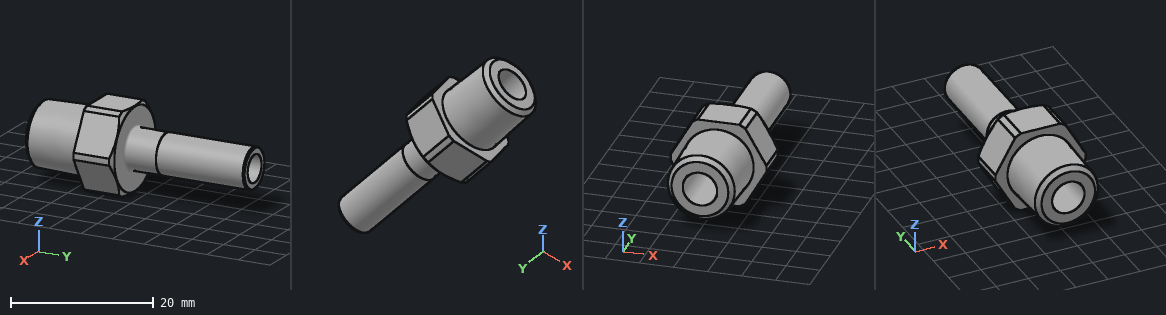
import cadquery as cq
import math

length = 34.1
front_y = -length / 2
back_y = length / 2

thread_length = 9.07
thread_root_radius = 5.15
thread_end_radius = 4.9
thread_face_radius = 4.15
thread_chamfer_length = 0.65

hex_across_flats = 12.7
hex_corner_diameter = 14.1
hex_length = 6.07
hex_chamfer_radius = 6.27
hex_chamfer_angle = 30.0

stem_radius = 3.15
neck_radius = 3.1
neck_length = 4.95
neck_fillet = 0.4
stem_chamfer_length = 0.25
stem_chamfer_inset = 0.15

wide_bore_radius = 2.52
narrow_bore_radius = 2.08

hex_front_y = front_y + thread_length
hex_back_y = hex_front_y + hex_length
neck_end_y = hex_back_y + neck_length


def revolve_about_y(profile):
    """Revolve a closed profile of radius (X) and position (Y) about the Y axis."""
    return profile.close().revolve(360, (0, 0, 0), (0, 1, 0))


def make_thread_body():
    return revolve_about_y(
        cq.Workplane("XY")
        .moveTo(0, front_y)
        .lineTo(thread_face_radius, front_y)
        .lineTo(thread_end_radius, front_y + thread_chamfer_length)
        .lineTo(thread_root_radius, hex_front_y)
        .lineTo(0, hex_front_y)
    )


def make_hexagon():
    corner_radius = hex_corner_diameter / 2
    chamfer_length = (corner_radius - hex_chamfer_radius) * math.tan(math.radians(hex_chamfer_angle))
    prism = (
        cq.Workplane("XZ", origin=(0, hex_front_y, 0))
        .polygon(6, hex_across_flats / math.cos(math.radians(30)))
        .extrude(-hex_length)
    )
    turned_blank = revolve_about_y(
        cq.Workplane("XY")
        .moveTo(0, hex_front_y)
        .lineTo(corner_radius, hex_front_y)
        .lineTo(corner_radius, hex_back_y - chamfer_length)
        .lineTo(hex_chamfer_radius, hex_back_y)
        .lineTo(0, hex_back_y)
    )
    return prism.intersect(turned_blank)


def make_stem():
    fillet_mid = neck_fillet * (1 - math.sqrt(0.5))
    return revolve_about_y(
        cq.Workplane("XY")
        .moveTo(0, hex_back_y)
        .lineTo(neck_radius + neck_fillet, hex_back_y)
        .threePointArc(
            (neck_radius + fillet_mid, hex_back_y + fillet_mid),
            (neck_radius, hex_back_y + neck_fillet),
        )
        .lineTo(neck_radius, neck_end_y)
        .lineTo(stem_radius, neck_end_y)
        .lineTo(stem_radius, back_y - stem_chamfer_length)
        .lineTo(stem_radius - stem_chamfer_inset, back_y)
        .lineTo(0, back_y)
    )


def make_bore():
    return revolve_about_y(
        cq.Workplane("XY")
        .moveTo(0, front_y)
        .lineTo(wide_bore_radius, front_y)
        .lineTo(wide_bore_radius, hex_back_y)
        .lineTo(narrow_bore_radius, neck_end_y)
        .lineTo(narrow_bore_radius, back_y)
        .lineTo(0, back_y)
    )


body = make_thread_body().union(make_hexagon()).union(make_stem())
result = body.cut(make_bore())